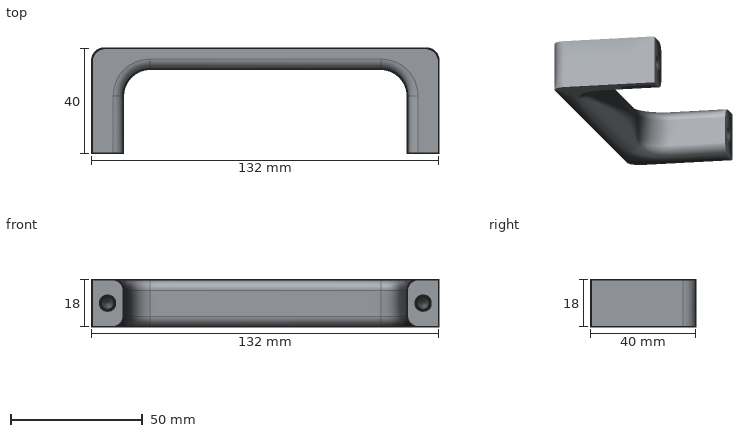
import cadquery as cq
import math

length = 132.0
height = 40.0
width = 18.0

leg_thickness = 12.0
grip_thickness = 8.0
outer_corner_radius = 5.0
inner_corner_radius = 10.0
edge_fillet = 4.0

hole_diameter = 4.9
hole_mouth_diameter = 6.0
hole_depth = 12.0
drill_point_angle = 118.0
hole_spacing = length - leg_thickness

leg_end_y = -height / 2
grip_inner_y = height / 2 - grip_thickness
opening_length = length - 2 * leg_thickness
opening_depth = grip_inner_y - leg_end_y


def make_opening():
    """Inside of the U, with rounded corners under the grip."""
    opening = cq.Workplane("XY").box(opening_length, opening_depth, width)
    opening = opening.edges("|Z and >Y").fillet(inner_corner_radius)
    return opening.translate((0, leg_end_y + opening_depth / 2, 0))


def make_body():
    """U-shaped handle with rounded inner edges."""
    block = cq.Workplane("XY").box(length, height, width)
    block = block.edges("|Z and >Y").fillet(outer_corner_radius)
    body = block.cut(make_opening())
    margin = 0.1
    reach_x = opening_length / 2 + margin
    rim_box = cq.selectors.BoxSelector(
        (-reach_x, leg_end_y + margin, -width),
        (reach_x, grip_inner_y + margin, width),
    )
    rims = body.faces("<Z or >Z").edges(rim_box)
    return rims.fillet(edge_fillet)


def make_hole():
    """Blind drilled hole along Y: 45 degree countersink, bore and drill point."""
    mouth_radius = hole_mouth_diameter / 2
    bore_radius = hole_diameter / 2
    countersink_depth = mouth_radius - bore_radius
    point_depth = bore_radius / math.tan(math.radians(drill_point_angle / 2))
    return (
        cq.Workplane("XY")
        .lineTo(mouth_radius, 0)
        .lineTo(bore_radius, countersink_depth)
        .lineTo(bore_radius, hole_depth)
        .lineTo(0, hole_depth + point_depth)
        .close()
        .revolve(360, (0, 0, 0), (0, 1, 0))
    )


result = make_body()
for side in (-1, 1):
    result = result.cut(make_hole().translate((side * hole_spacing / 2, leg_end_y, 0)))